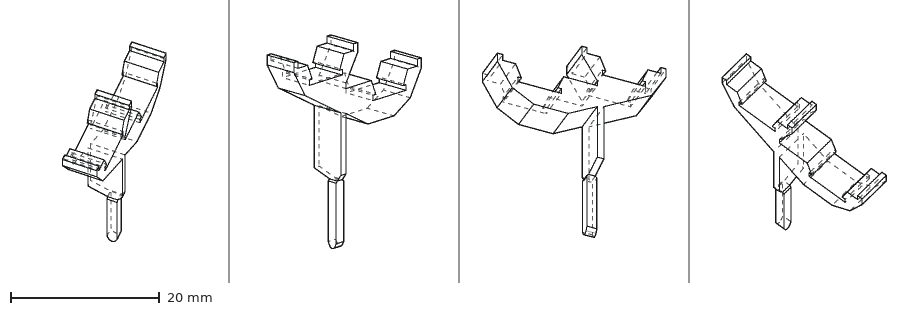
import cadquery as cq
import math


body_width = 5.0
top_z = 28.6

cradle_width = 12.47
cradle_shift_y = 12.45
cradle_drop = 5.0
lip_width = 0.8
lip_depth = 0.97
shoulder_width = 2.7
hook_reach = 3.55
hook_depth = 3.12
seat_wall = 3.03
seat_depth = 3.9

arm_straight = 1.4
arm_inset = 2.17
arm_depth = 5.15

base_z = 16.62
base_start = 5.35
base_length = 5.1
neck_z = 23.42
underside_angle = 30.0

blade_thickness = 1.0
blade_corner_z = 10.58
blade_end_z = 9.65

pin_width = 1.5
pin_thickness = 1.5
pin_center_x = 3.6
pin_chamfer = (pin_thickness - blade_thickness) / 2
taper_start_z = 0.83
nose_z = 0.25
nose_half_width = 0.45

wall_y = blade_thickness / 2
outer_low_y = wall_y + 14.73
low_rim_z = top_z - cradle_drop
outer_high_y = outer_low_y - cradle_shift_y - cradle_width
upper_arm_y = outer_high_y + cradle_width

underside_slope = math.tan(math.radians(underside_angle))
high_corner_y = outer_high_y + arm_inset
high_corner_z = top_z - arm_depth
high_slope_end_z = high_corner_z - (-wall_y - high_corner_y) * underside_slope
base_inner_y = outer_low_y - base_start - base_length
low_slope_end_z = base_z + (base_inner_y - wall_y) * underside_slope


def hook_points(edge_y, inward, rim_z):
    """Points from the outer edge of an arm across its lip and hook to the seat."""
    steps = [
        (0, 0),
        (lip_width, 0),
        (lip_width, lip_depth),
        (shoulder_width, lip_depth),
        (hook_reach, hook_depth),
        (seat_wall, hook_depth),
        (seat_wall, seat_depth),
    ]
    return [(edge_y + inward * across, rim_z - down) for across, down in steps]


def make_body():
    """Stepped double cradle extruded across the full width."""
    lower_outer = hook_points(outer_low_y, -1, low_rim_z)
    lower_inner = hook_points(outer_low_y - cradle_width, 1, low_rim_z)[3:]
    upper_inner = hook_points(upper_arm_y, -1, top_z)
    upper_outer = hook_points(outer_high_y, 1, top_z)
    outline = (
        lower_outer
        + lower_inner[::-1]
        + [
            (wall_y, low_rim_z - lip_depth),
            (wall_y, neck_z),
            (upper_arm_y, top_z - arm_straight),
        ]
        + upper_inner
        + upper_outer[::-1]
        + [
            (outer_high_y, top_z - arm_straight),
            (high_corner_y, high_corner_z),
            (-wall_y, high_slope_end_z),
            (wall_y, low_slope_end_z),
            (base_inner_y, base_z),
            (outer_low_y - base_start, base_z),
            (outer_low_y - arm_inset, low_rim_z - arm_depth),
            (outer_low_y, low_rim_z - arm_straight),
        ]
    )
    return cq.Workplane("YZ").polyline(outline).close().extrude(body_width)


def make_blade():
    """Flat blade below the body, narrowing to the width of the pin."""
    blade_top_z = neck_z - blade_thickness
    return (
        cq.Workplane("XZ")
        .moveTo(0, blade_top_z)
        .lineTo(0, blade_corner_z)
        .lineTo(pin_center_x - pin_width / 2, blade_end_z)
        .lineTo(pin_center_x + pin_width / 2, blade_end_z)
        .lineTo(body_width, blade_corner_z)
        .lineTo(body_width, blade_top_z)
        .close()
        .extrude(blade_thickness / 2, both=True)
    )


def make_pin():
    """Square pin with a tapered, rounded tip and a chamfered top on both Y sides."""
    pin = (
        cq.Workplane("XZ", origin=(pin_center_x, 0, 0))
        .moveTo(-pin_width / 2, blade_end_z)
        .lineTo(-pin_width / 2, taper_start_z)
        .lineTo(-nose_half_width, nose_z)
        .threePointArc((0, 0), (nose_half_width, nose_z))
        .lineTo(pin_width / 2, taper_start_z)
        .lineTo(pin_width / 2, blade_end_z)
        .close()
        .extrude(pin_thickness / 2, both=True)
    )
    return pin.faces(">Z").edges("|X").chamfer(pin_chamfer)


result = make_body().union(make_blade()).union(make_pin())